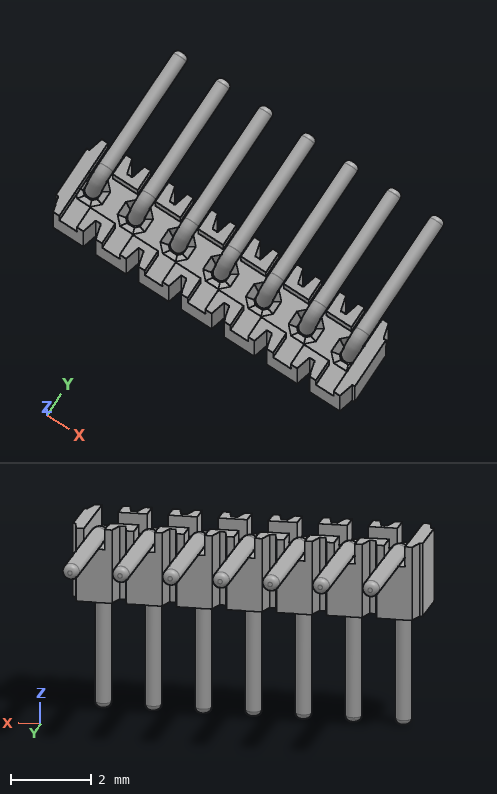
import cadquery as cq
import math


strip_length = 8.89
strip_width = 2.21
strip_height = 1.89

overall_depth = 5.2
overall_height = 4.9

pin_count = 7
pitch = strip_length / pin_count

notch_depth = 0.4
notch_mouth_width = 0.365
notch_floor_width = 0.15

channel_width = 1.01
slot_width = 0.525
slot_depth = 0.52
floor_z = strip_height - slot_depth

funnel_width = 0.81
funnel_flat = 0.38
funnel_wall_angle = 45

pin_diameter = 0.42
pin_radius = pin_diameter / 2
pin_top_gap = 0.09
bend_radius = 0.605
tip_fillet = 0.15
tail_length = overall_height - strip_height
arm_end_y = overall_depth - strip_width / 2
arm_z = strip_height - pin_top_gap - pin_radius

pin_positions = [(i - (pin_count - 1) / 2) * pitch for i in range(pin_count)]
cell_borders = [(i - pin_count / 2) * pitch for i in range(pin_count + 1)]


def make_notch(x, side):
    """Tapered notch through the full height; side is +1 or -1 for the long face it opens on."""
    mouth_y = side * strip_width / 2
    floor_y = mouth_y - side * notch_depth
    half_mouth = notch_mouth_width / 2
    half_floor = notch_floor_width / 2
    return (
        cq.Workplane("XY")
        .polyline([
            (x - half_mouth, mouth_y),
            (x - half_floor, floor_y),
            (x + half_floor, floor_y),
            (x + half_mouth, mouth_y),
        ])
        .close()
        .extrude(strip_height)
    )


def make_funnel(x):
    """Recess shaped like a square with cut corners, narrowing evenly down to the pin diameter."""
    depth = (funnel_width - pin_diameter) / 2 / math.tan(math.radians(funnel_wall_angle))
    half_width = funnel_width / 2
    half_flat = funnel_flat / 2
    return (
        cq.Workplane("XY", origin=(x, 0, floor_z))
        .polyline([
            (half_width, -half_flat),
            (half_width, half_flat),
            (half_flat, half_width),
            (-half_flat, half_width),
            (-half_width, half_flat),
            (-half_width, -half_flat),
            (-half_flat, -half_width),
            (half_flat, -half_width),
        ])
        .close()
        .extrude(-depth, taper=funnel_wall_angle)
    )


def make_strip():
    strip = cq.Workplane("XY").box(strip_length, strip_width, strip_height, centered=(True, True, False))

    for x in cell_borders:
        for side in (-1, 1):
            strip = strip.cut(make_notch(x, side))

    channel_length = pin_positions[-1] - pin_positions[0] + slot_width
    channel = (
        cq.Workplane("XY", origin=(0, 0, floor_z))
        .rect(channel_length, channel_width)
        .extrude(slot_depth)
    )
    strip = strip.cut(channel)

    for x in pin_positions:
        slot = (
            cq.Workplane("XY", origin=(x, 0, floor_z))
            .rect(slot_width, strip_width)
            .extrude(slot_depth)
        )
        strip = strip.cut(slot).cut(make_funnel(x))
    return strip


def make_pin(x):
    """Pin with a vertical tail, a quarter bend and a horizontal arm pointing to +Y."""
    bend_start_z = arm_z - bend_radius
    bend_mid_y = bend_radius * (1 - math.cos(math.pi / 4))
    bend_mid_z = bend_start_z + bend_radius * math.sin(math.pi / 4)
    path = (
        cq.Workplane("YZ", origin=(x, 0, 0))
        .moveTo(0, -tail_length)
        .lineTo(0, bend_start_z)
        .threePointArc((bend_mid_y, bend_mid_z), (bend_radius, arm_z))
        .lineTo(arm_end_y, arm_z)
    )
    pin = cq.Workplane("XY", origin=(x, 0, -tail_length)).circle(pin_radius).sweep(path)
    return pin.faces("<Z or >Y").edges().fillet(tip_fillet)


result = make_strip()
for pin_x in pin_positions:
    result = result.union(make_pin(pin_x))